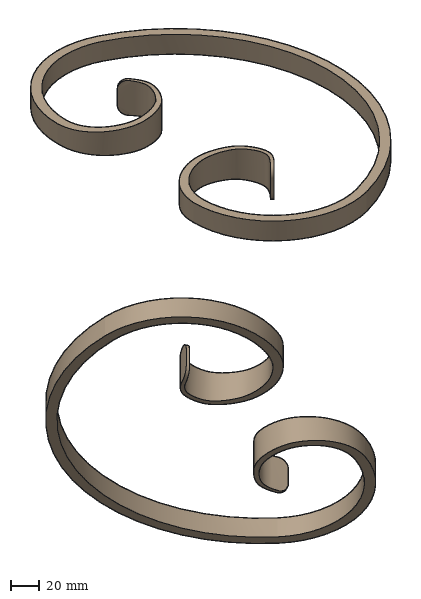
import math

import cadquery as cq

WIDTH = 294.87
DEPTH = 200.0

BAR_THICKNESS = 8.0
BAR_HEIGHT = 16.5

SIDE_RADIUS = 75.0
SIDE_CENTER_X = WIDTH / 2 - SIDE_RADIUS
SIDE_CENTER_Y = SIDE_RADIUS

CROWN_RISE = DEPTH - SIDE_CENTER_Y
CROWN_RADIUS = (CROWN_RISE**2 + SIDE_CENTER_X**2 - SIDE_RADIUS**2) / (2 * (CROWN_RISE - SIDE_RADIUS))
CROWN_CENTER_Y = DEPTH - CROWN_RADIUS
JOINT_ANGLE = math.atan2(SIDE_CENTER_Y - CROWN_CENTER_Y, SIDE_CENTER_X)

TIP_THICKNESS = 2.5
TIP_HEIGHT = 29.64
TIP_CORNER_RADIUS = 8.0

BEND_RADIUS = 39.1
BEND_CENTER_Y = BAR_THICKNESS / 2 + BEND_RADIUS
SHOULDER = (41.3, 68.0)
SHOULDER_HEADING = 51.5
TOP = (61.5, 78.2)
TIP = (82.2, 65.6)
TIP_HEADING = -43


def polar(center_x, center_y, radius, angle):
    """Point at an angle on a circle."""
    return (center_x + radius * math.cos(angle), center_y + radius * math.sin(angle))


def arc_bar(center_x, center_y, outer_radius, start, end):
    """Bar of constant section bent along a circular arc."""
    inner_radius = outer_radius - BAR_THICKNESS
    middle = (start + end) / 2
    return (
        cq.Workplane("XY")
        .workplane(offset=-BAR_HEIGHT / 2)
        .moveTo(*polar(center_x, center_y, outer_radius, start))
        .threePointArc(
            polar(center_x, center_y, outer_radius, middle),
            polar(center_x, center_y, outer_radius, end),
        )
        .lineTo(*polar(center_x, center_y, inner_radius, end))
        .threePointArc(
            polar(center_x, center_y, inner_radius, middle),
            polar(center_x, center_y, inner_radius, start),
        )
        .close()
        .extrude(BAR_HEIGHT)
    )


def bend_point(angle):
    """Point on the center line of the quarter bend, for an angle in degrees."""
    return polar(SIDE_CENTER_X, BEND_CENTER_Y, BEND_RADIUS, math.radians(angle))


def direction(heading):
    """Unit vector for a heading in degrees, counter-clockwise from +X."""
    return polar(0, 0, 1, math.radians(heading))


def section(point, heading, thickness, height):
    """Rectangular section of the scroll, square to its heading."""
    forward_x, forward_y = direction(heading)
    plane = cq.Plane(
        origin=(*point, 0),
        xDir=(-forward_y, forward_x, 0),
        normal=(forward_x, forward_y, 0),
    )
    return cq.Workplane(plane).rect(thickness, height).wires().val()


def scroll():
    """Tapered scroll end on the +X side, with rounded corners at its tip."""
    stations = [
        (bend_point(270), 180),
        (bend_point(225), 135),
        (bend_point(180), 90),
        (SHOULDER, SHOULDER_HEADING),
        (TOP, 0),
        (TIP, TIP_HEADING),
    ]
    path = cq.Workplane("XY").spline(
        [point for point, heading in stations],
        tangents=[direction(heading) for point, heading in stations],
    )
    sections = [
        section(*stations[0], BAR_THICKNESS, BAR_HEIGHT),
        section(*stations[-1], TIP_THICKNESS, TIP_HEIGHT),
    ]
    body = cq.Workplane("XY").newObject([cq.Solid.sweep_multi(sections, path.val())])
    tip_face = cq.selectors.NearestToPointSelector((*TIP, 0))
    return body.faces(tip_face).edges("<Z or >Z").fillet(TIP_CORNER_RADIUS)


crown = arc_bar(0, CROWN_CENTER_Y, CROWN_RADIUS, JOINT_ANGLE, math.pi - JOINT_ANGLE)
side = arc_bar(SIDE_CENTER_X, SIDE_CENTER_Y, SIDE_RADIUS, -math.pi / 2, JOINT_ANGLE)
half = side.union(scroll(), clean=False)
result = crown.union(half, clean=False).union(half.mirror("YZ"), clean=False)